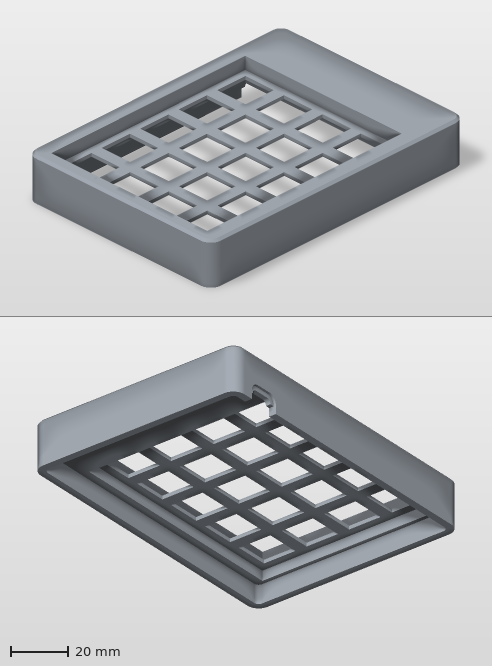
import cadquery as cq

CASE_X = 91.0
CASE_Y = 126.0
CASE_Z = 19.2
CORNER_RADIUS = 4.9
TOP_CHAMFER = 1.0
WALL = 3.0
ROOF_UNDERSIDE_Z = 7.8

COLUMNS = 4
ROWS = 5
KEY_PITCH = 19.0
KEY_HOLE = 14.0
GRID_CENTRE_Y = -9.7

WINDOW_MARGIN = 0.5
WINDOW_X = COLUMNS * KEY_PITCH + 2 * WINDOW_MARGIN
WINDOW_Y = ROWS * KEY_PITCH + 2 * WINDOW_MARGIN

PLATE_THICKNESS = 1.5
PLATE_TOP_Z = 13.5
PLATE_OVERLAP = 0.5
PLATE_X = WINDOW_X + 2 * PLATE_OVERLAP
PLATE_Y = WINDOW_Y + 2 * PLATE_OVERLAP

PORT_CENTRE_Y = 47.1
PORT_WIDTH = 13.5
PORT_RECESS_DEPTH = 1.0
PLUG_RADIUS = 1.8
NOTCH_HEIGHT = 3.5
PORT_RADIUS = 2 * PLUG_RADIUS
PLUG_WIDTH = PORT_WIDTH - 2 * (PORT_RADIUS - PLUG_RADIUS)


def block(size_x, size_y, z_low, z_high, centre_y=0.0):
    """Upright block centred on X = 0, between two heights."""
    return (
        cq.Workplane("XY", origin=(0, centre_y, z_low))
        .rect(size_x, size_y)
        .extrude(z_high - z_low)
    )


def port_cutter(width, height, depth, radius=0.0):
    """Opening cut from the -X face inward, rising from the bottom edge, its top corners rounded."""
    cutter = cq.Workplane("XY").box(depth, width, height, centered=(False, True, False))
    if radius > 0:
        cutter = cutter.edges("|X and >Z").fillet(radius)
    return cutter.translate((-CASE_X / 2, PORT_CENTRE_Y, 0))


def make_case():
    case = block(CASE_X, CASE_Y, 0, CASE_Z)
    case = case.edges("|Z").fillet(CORNER_RADIUS)
    case = case.faces(">Z").edges().chamfer(TOP_CHAMFER)

    cavity = block(CASE_X - 2 * WALL, CASE_Y - 2 * WALL, 0, ROOF_UNDERSIDE_Z)
    cavity = cavity.edges("|Z").fillet(CORNER_RADIUS - WALL)
    case = case.cut(cavity)

    case = case.cut(block(PLATE_X, PLATE_Y, 0, PLATE_TOP_Z, GRID_CENTRE_Y))
    case = case.cut(block(WINDOW_X, WINDOW_Y, 0, CASE_Z, GRID_CENTRE_Y))

    case = case.cut(port_cutter(PORT_WIDTH, NOTCH_HEIGHT + PORT_RADIUS, PORT_RECESS_DEPTH, PORT_RADIUS))
    case = case.cut(port_cutter(PLUG_WIDTH, NOTCH_HEIGHT + PLUG_RADIUS, WALL, PLUG_RADIUS))
    return case.cut(port_cutter(PORT_WIDTH, NOTCH_HEIGHT, WALL))


def make_switch_plate():
    plate = block(PLATE_X, PLATE_Y, PLATE_TOP_Z - PLATE_THICKNESS, PLATE_TOP_Z, GRID_CENTRE_Y)
    key_holes = (
        cq.Workplane("XY", origin=(0, GRID_CENTRE_Y, 0))
        .rarray(KEY_PITCH, KEY_PITCH, COLUMNS, ROWS)
        .rect(KEY_HOLE, KEY_HOLE)
        .extrude(CASE_Z)
    )
    return plate.cut(key_holes)


case = make_case()
switch_plate = make_switch_plate()

result = cq.Compound.makeCompound([case.val(), switch_plate.val()])